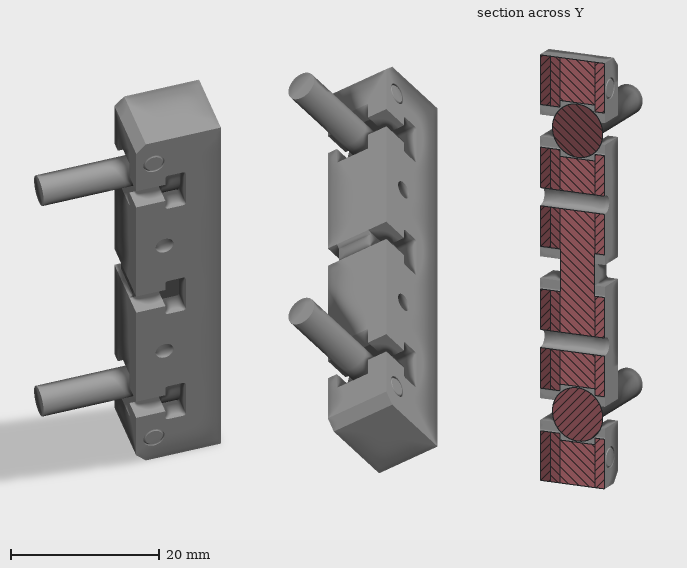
import cadquery as cq


height = 60.0
depth = 12.0
plate_thickness = 1.5
core_thickness = 5.15
edge_chamfer = 1.4

core_start = plate_thickness
inner_plate_start = core_start + core_thickness
outer_plate_start = inner_plate_start + plate_thickness
stack_width = outer_plate_start + plate_thickness

slot_pitch = 20.0
neck_width = 3.05
slot_head_width = 6.25
slot_head_start = 4.15
slot_depth = 7.0
slot_corner_radius = 0.35

groove_depth = 0.5
channel_width = 5.05
channel_flare = 1.45

shank_diameter = 4.25
shank_reach = 12.0
bolt_head_diameter = 7.8
bolt_head_clearance = 0.1
bolt_head_chamfer = 0.2
bolt_x = core_start + core_thickness / 2
bolt_heights = (-slot_pitch, slot_pitch)

pin_diameter = 3.0
pin_chamfer = 0.3
pin_y = 2.5
pin_heights = (-26.0, 26.0)

hole_diameter = 2.5
hole_y = 4.0
hole_heights = (-slot_pitch / 2, slot_pitch / 2)


def box(x_start, x_length, y_start, y_end, z_center, z_width):
    """Block given by its X start and length, its Y range and its Z centre and width."""
    return (
        cq.Workplane("XY")
        .box(x_length, y_end - y_start, z_width, centered=(False, False, True))
        .translate((x_start, y_start, z_center))
    )


def cylinders_along_x(diameter, y, heights, x_start, length):
    """Equal round bars parallel to X, one at each height."""
    places = [(y, z) for z in heights]
    return cq.Workplane("YZ", origin=(x_start, 0, 0)).pushPoints(places).circle(diameter / 2).extrude(length)


def layer(x_start, thickness):
    """Full-height layer with chamfered front corners, pin bores and through holes."""
    body = box(x_start, thickness, 0, depth, 0, height)
    body = body.edges("<Y and |X").chamfer(edge_chamfer)
    body = body.cut(cylinders_along_x(pin_diameter, pin_y, pin_heights, x_start, thickness))
    return body.cut(cylinders_along_x(hole_diameter, hole_y, hole_heights, x_start, thickness))


def t_slot(x_start, z):
    """T-shaped slot through one plate, open at the front."""
    head = box(x_start, plate_thickness, slot_head_start, slot_depth, z, slot_head_width)
    head = head.edges("|X").fillet(slot_corner_radius)
    return head.union(box(x_start, plate_thickness, 0, slot_head_start, z, neck_width))


def make_plate(x_start):
    plate = layer(x_start, plate_thickness)
    for z in (-slot_pitch, 0, slot_pitch):
        plate = plate.cut(t_slot(x_start, z))
    return plate


def flared_groove(z, front_width, flare):
    """Groove across the front of the core whose 45 degree sides narrow over the depth of the flare."""
    front = front_width / 2
    floor = front - flare
    outline = [(0, z - front), (flare, z - floor), (flare, z + floor), (0, z + front)]
    return cq.Workplane("YZ", origin=(core_start, 0, 0)).polyline(outline).close().extrude(core_thickness)


def bolt_channel(z):
    """Channel across the core that takes a bolt: flared mouth, neck and head space."""
    mouth = flared_groove(z, channel_width + 2 * channel_flare, channel_flare)
    neck = box(core_start, core_thickness, 0, slot_head_start, z, channel_width)
    head_space = box(core_start, core_thickness, slot_head_start, slot_depth, z, bolt_head_diameter)
    return mouth.union(neck).union(head_space)


def make_core():
    core = layer(core_start, core_thickness)
    core = core.cut(flared_groove(0, neck_width, groove_depth))
    for z in bolt_heights:
        core = core.cut(bolt_channel(z))
    return core


def make_bolt(z):
    """Headed bolt along Y with its head inside the T-slots and its shank out of the front."""
    head_front = slot_head_start
    head_back = slot_depth - bolt_head_clearance
    head = (
        cq.Workplane("XZ", origin=(bolt_x, head_back, z))
        .circle(bolt_head_diameter / 2)
        .extrude(head_back - head_front)
        .edges()
        .chamfer(bolt_head_chamfer)
    )
    shank = (
        cq.Workplane("XZ", origin=(bolt_x, head_front, z))
        .circle(shank_diameter / 2)
        .extrude(head_front + shank_reach)
    )
    return head.union(shank)


def make_pin(z):
    """Dowel pin through the whole stack with chamfered ends."""
    pin = cylinders_along_x(pin_diameter, pin_y, [z], 0, stack_width)
    return pin.faces("<X or >X").chamfer(pin_chamfer)


plates = [make_plate(x) for x in (0, inner_plate_start, outer_plate_start)]
core = make_core()
bolts = [make_bolt(z) for z in bolt_heights]
pins = [make_pin(z) for z in pin_heights]

result = cq.Compound.makeCompound([body.val() for body in [*plates, core, *bolts, *pins]])